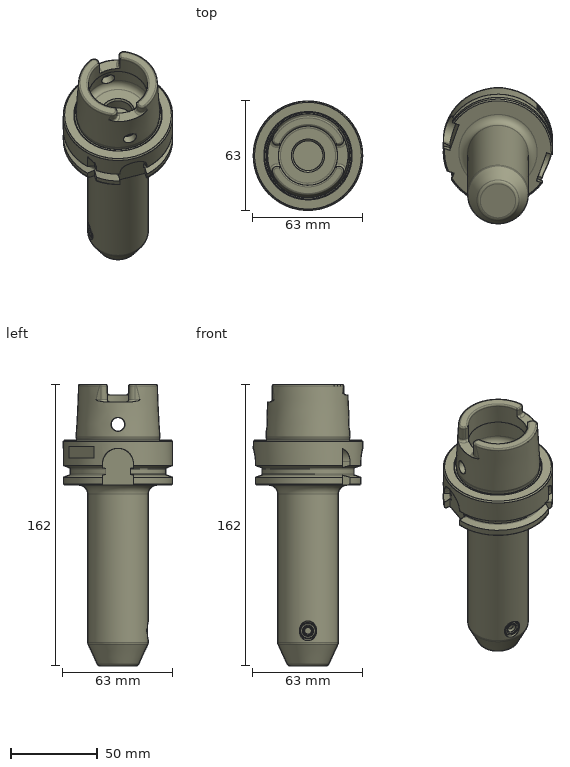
import cadquery as cq
import math

total_height = 162.0

flange_radius = 31.51
flange_thickness = 26.0
flange_top = 130.0
flange_bottom = flange_top - flange_thickness
flange_chamfer = 0.8
groove_center = flange_top - 18.0
groove_mouth_width = 6.8
groove_floor_radius = 27.5
groove_floor_width = 3.7
groove_corner_radius = 0.5

taper_base_radius = 24.3
taper_per_length = 0.05
taper_height = total_height - flange_top
taper_tip_radius = taper_base_radius - taper_per_length * taper_height
rim_fillet = 1.0
relief_height = 2.0
relief_depth = 0.3
face_relief_radius = 25.5
face_relief_depth = 0.5

mouth_radius = 17.0
mouth_depth = 13.0
cavity_radius = 19.6
cavity_depth = 29.5
cavity_fillet = 3.7
coolant_radius = 8.6
coolant_chamfer = 1.0
coolant_depth = 8.1
cross_hole_radius = 3.9
cross_hole_depth = 23.0

slot_width = 12.3
slot_shoulder = 20.5
slot_corner_radius = 2.8
slot_flare_angle = 20.0
slot_flare_half_width = 16.2
slot_floor_fillet = 1.5
left_slot_depth = 10.0
right_slot_depth = 6.0

left_keyway_width = 17.8
right_keyway_width = 16.0
keyway_floor = 26.5
keyway_top_depth = 4.7
notch_wall_x = 19.8
notch_wall_y = 20.2
notch_radius = 8.3
notch_arc_depth = 12.2
flat_angle = 135.0
flat_distance = 29.8
flat_top_depth = 3.7
flat_height = 6.6

shank_radius = 17.5
neck_fillet = 5.0
nose_height = 13.0
nose_radius = 11.5
nose_shoulder_fillet = 2.5
nose_tip_fillet = 2.1

screw_height = 20.2
countersink_radius = 5.7
screw_gap_radius = 4.7
screw_radius = 4.2
screw_chamfer = 0.5
socket_radius = 2.6
socket_chamfer = 0.6
socket_tip_radius = 2.0
socket_depth = 2.5

cut_margin = 8.1
selection_margin = 0.2


def full_turn(profile):
    """Revolve a closed half outline about the vertical direction of its own plane."""
    return profile.revolve(360, (0, 0, 0), (0, 1, 0))


def turned_body():
    """Shank, flange blank and taper as one turned piece with a rounded nose."""
    relief_top_radius = taper_base_radius - taper_per_length * relief_height
    profile = (
        cq.Workplane("XZ")
        .lineTo(nose_radius, 0)
        .lineTo(shank_radius, nose_height)
        .lineTo(shank_radius, flange_bottom - neck_fillet)
        .radiusArc((shank_radius + neck_fillet, flange_bottom), neck_fillet)
        .lineTo(flange_radius - flange_chamfer, flange_bottom)
        .lineTo(flange_radius, flange_bottom + flange_chamfer)
        .lineTo(flange_radius, flange_top - flange_chamfer)
        .lineTo(flange_radius - flange_chamfer, flange_top)
        .lineTo(face_relief_radius, flange_top)
        .lineTo(face_relief_radius - face_relief_depth, flange_top - face_relief_depth)
        .lineTo(taper_base_radius - relief_depth, flange_top - face_relief_depth)
        .lineTo(taper_base_radius - relief_depth, flange_top + relief_height / 2)
        .lineTo(relief_top_radius, flange_top + relief_height)
        .lineTo(taper_tip_radius, total_height)
        .lineTo(0, total_height)
        .close()
    )
    body = full_turn(profile)
    nose_shoulder = cq.selectors.BoxSelector(
        (-shank_radius, -shank_radius, nose_height - selection_margin),
        (shank_radius, shank_radius, nose_height + selection_margin),
    )
    body = body.edges(nose_shoulder).fillet(nose_shoulder_fillet)
    return body.faces("<Z").edges().fillet(nose_tip_fillet)


def gripper_groove():
    """Ring with slanted sides and rounded floor corners, all round the flange."""
    slope = (groove_mouth_width - groove_floor_width) / 2 / (flange_radius - groove_floor_radius)
    outer_radius = flange_radius + cut_margin
    floor_half = groove_floor_width / 2
    outer_half = groove_mouth_width / 2 + slope * cut_margin
    outline = (
        cq.Workplane("XZ")
        .moveTo(groove_floor_radius, groove_center - floor_half)
        .lineTo(outer_radius, groove_center - outer_half)
        .lineTo(outer_radius, groove_center + outer_half)
        .lineTo(groove_floor_radius, groove_center + floor_half)
        .close()
    )
    ring = full_turn(outline)
    return ring.edges(cq.selectors.RadiusNthSelector(0)).fillet(groove_corner_radius)


def cavity():
    """Undercut cavity behind the mouth, with the coolant bore in its floor."""
    floor = total_height - cavity_depth
    step = total_height - mouth_depth
    bore_bottom = floor - coolant_depth
    profile = (
        cq.Workplane("XZ")
        .moveTo(0, bore_bottom)
        .lineTo(coolant_radius, bore_bottom)
        .lineTo(coolant_radius, floor - coolant_chamfer)
        .lineTo(coolant_radius + coolant_chamfer, floor)
        .lineTo(cavity_radius - cavity_fillet, floor)
        .radiusArc((cavity_radius, floor + cavity_fillet), -cavity_fillet)
        .lineTo(cavity_radius, step)
        .lineTo(mouth_radius, step)
        .lineTo(mouth_radius, total_height)
        .lineTo(0, total_height)
        .close()
    )
    return full_turn(profile)


def drive_slot(depth):
    """Slot open towards +X whose rounded mouth flares out along the taper."""
    half = slot_width / 2
    radius = slot_corner_radius
    arc_x = slot_shoulder - radius
    arc_y = half + radius
    flare = math.radians(slot_flare_angle)
    flare_x = arc_x + radius * math.cos(flare)
    flare_y = arc_y + radius * math.sin(flare)
    flare_end_x = flare_x - (slot_flare_half_width - flare_y) * math.tan(flare)
    outside = flange_radius
    slot = (
        cq.Workplane("XY", origin=(0, 0, total_height - depth))
        .lineTo(0, half)
        .lineTo(arc_x, half)
        .threePointArc((slot_shoulder, arc_y), (flare_x, flare_y))
        .lineTo(flare_end_x, slot_flare_half_width)
        .lineTo(outside, slot_flare_half_width)
        .lineTo(outside, 0)
        .mirrorX()
        .extrude(depth + cut_margin)
    )
    return slot.faces("<Z").edges().fillet(slot_floor_fillet)


def turned_half_round(cutter):
    """Move a cutter made for the +X side to the -X side."""
    return cutter.rotate((0, 0, 0), (0, 0, 1), 180)


def cross_hole():
    """Plain hole through both walls of the hollow taper, along X."""
    return (
        cq.Workplane("YZ", origin=(0, 0, total_height - cross_hole_depth))
        .circle(cross_hole_radius)
        .extrude(flange_radius, both=True)
    )


def round_topped_cut(floor_x, center_y, center_z, radius):
    """Slot along Z from below the flange, open towards +X, with a round upper end."""
    bottom = flange_bottom - center_z
    return (
        cq.Workplane("YZ", origin=(floor_x, center_y, center_z))
        .moveTo(-radius, bottom)
        .lineTo(-radius, 0)
        .threePointArc((0, radius), (radius, 0))
        .lineTo(radius, bottom)
        .close()
        .extrude(flange_radius)
    )


def keyway(width):
    """Keyway through the +X side of the flange."""
    radius = width / 2
    return round_topped_cut(keyway_floor, 0, flange_top - keyway_top_depth - radius, radius)


def corner_notch():
    """Small notch with two walls at right angles in the +X, -Y side of the flange."""
    return round_topped_cut(
        notch_wall_x, -notch_wall_y - notch_radius, flange_top - notch_arc_depth, notch_radius
    )


def marking_flat():
    """Block that leaves a short upright flat on the flange rim."""
    return (
        cq.Workplane("XY")
        .box(flange_radius, 2 * flange_radius, flat_height, centered=(False, True, False))
        .translate((flat_distance, 0, flange_top - flat_top_depth - flat_height))
        .rotate((0, 0, 0), (0, 0, 1), flat_angle)
    )


def screw_recess():
    """Countersink around the screw head, with the screw's socket in its middle."""
    gap_bottom = shank_radius - (countersink_radius - screw_gap_radius)
    face = gap_bottom + screw_chamfer
    profile = (
        cq.Workplane("XY")
        .moveTo(0, socket_depth - face)
        .lineTo(socket_tip_radius, socket_depth - face)
        .lineTo(socket_radius, socket_chamfer - face)
        .lineTo(socket_radius + socket_chamfer, -face)
        .lineTo(screw_radius, -face)
        .lineTo(screw_gap_radius, -gap_bottom)
        .lineTo(screw_gap_radius + cut_margin, -gap_bottom - cut_margin)
        .lineTo(0, -gap_bottom - cut_margin)
        .close()
    )
    return full_turn(profile).translate((0, 0, screw_height))


body = turned_body()
body = body.cut(gripper_groove())
body = body.cut(cavity())
body = body.cut(drive_slot(right_slot_depth))
body = body.cut(turned_half_round(drive_slot(left_slot_depth)))
body = body.faces(">Z").edges().fillet(rim_fillet)
body = body.cut(cross_hole())
body = body.cut(keyway(right_keyway_width))
body = body.cut(turned_half_round(keyway(left_keyway_width)))
body = body.cut(corner_notch())
body = body.cut(marking_flat())
result = body.cut(screw_recess())